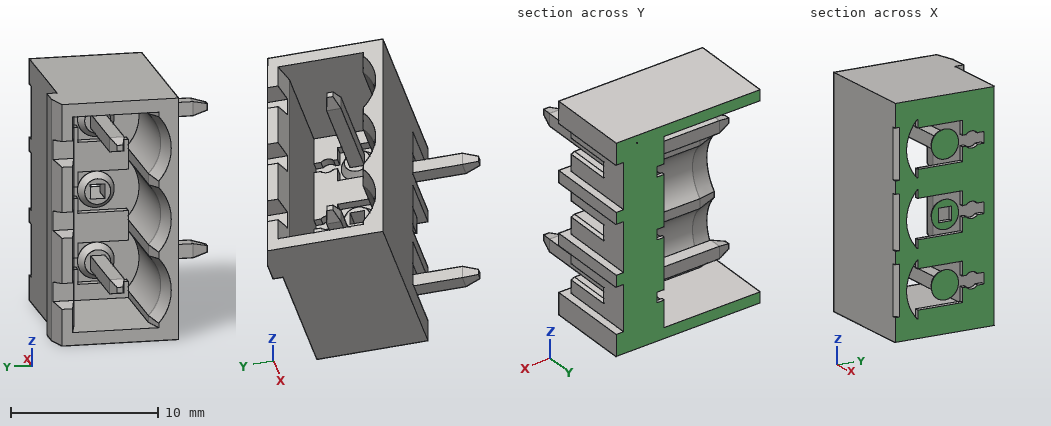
import cadquery as cq


LENGTH = 12.0
HEIGHT = 7.8
WIDTH = 17.0
LIP_TOP = 8.5
LIP_LENGTH = 3.0

PITCH = 5.0
POSITIONS = (-PITCH, 0.0, PITCH)
PIN_POSITIONS = (-PITCH, PITCH)

MOUTH_DEPTH = 1.5
MOUTH_FLARE = 0.4

CAVITY_WIDTH = 15.16
CAVITY_BOTTOM = 1.78
CAVITY_TOP = 6.95
CAVITY_DEPTH = 7.99
SCALLOP_RADIUS = 3.0

RECESS_DEPTH = 0.6
RECESS_WIDTH = 2.9
RECESS_TOP = 5.29
KEY_WIDTH = 0.8
KEY_BULGE_RADIUS = 0.6
KEY_BULGE_Y = 6.02
RECESS_FLOOR = CAVITY_DEPTH + RECESS_DEPTH

COLLAR_BASE_RADIUS = 1.28
COLLAR_TOP_RADIUS = 0.9
COLLAR_HEIGHT = RECESS_DEPTH

NOTCH_DEPTH = 1.25
NOTCH_FLOOR_WIDTH = 1.36
NOTCH_MOUTH_WIDTH = 1.82

BACK_WALL_X = 11.39
END_RIB_WIDTH = 1.78
RIB_WIDTH = 0.99
WINDOW_START = 7.99
WINDOW_DEPTH = 0.61

PIN_SIZE = 1.0
PIN_Y = 3.91
TAIL_X = 10.1
PIN_FRONT_X = 0.75
TAIL_END_Y = -4.1
CONTACT_TIP_SIZE = 0.4
CONTACT_TIP_LENGTH = 1.0
TAIL_TIP_SIZE = 0.46
TAIL_TIP_LENGTH = 1.05

SLOT_FLARE_LENGTH = 0.27
SLOT_FLARE = 0.14


def box(x_range, y_range, z_range):
    """Axis-aligned block given by its limits along each axis."""
    size = [high - low for low, high in (x_range, y_range, z_range)]
    corner = (x_range[0], y_range[0], z_range[0])
    return cq.Workplane("XY").box(*size, centered=False).translate(corner)


def centred(middle, width):
    """Limits of a span of the given width about its middle."""
    return (middle - width / 2, middle + width / 2)


def prism_along_z(points, z_range):
    """XY outline extruded between two Z levels."""
    low, high = z_range
    return cq.Workplane("XY").workplane(offset=low).polyline(points).close().extrude(high - low)


def cone_along_x(x_start, length, start_radius, end_radius, z):
    """Truncated cone about the pin axis of one position, growing toward +X."""
    return cq.Workplane(cq.Solid.makeCone(
        start_radius, end_radius, length, pnt=cq.Vector(x_start, PIN_Y, z), dir=cq.Vector(1, 0, 0)))


def cylinder_along_x(x_start, length, radius, y, z):
    """Cylinder growing toward +X from a centre at (y, z)."""
    return (cq.Workplane("YZ").workplane(offset=x_start).center(y, z)
            .circle(radius).extrude(length))


def housing_block():
    outline = [
        (0, 0),
        (LENGTH, 0),
        (LENGTH, HEIGHT),
        (LIP_LENGTH, HEIGHT),
        (LIP_LENGTH, LIP_TOP),
        (MOUTH_DEPTH, LIP_TOP),
        (0, LIP_TOP - MOUTH_FLARE),
    ]
    return prism_along_z(outline, centred(0, WIDTH))


def cavity():
    """Main opening with its flared mouth and one scalloped bulge below each position."""
    outline = [
        (0, CAVITY_BOTTOM - MOUTH_FLARE),
        (MOUTH_DEPTH, CAVITY_BOTTOM),
        (CAVITY_DEPTH, CAVITY_BOTTOM),
        (CAVITY_DEPTH, CAVITY_TOP),
        (MOUTH_DEPTH, CAVITY_TOP),
        (0, CAVITY_TOP + MOUTH_FLARE),
    ]
    space = prism_along_z(outline, centred(0, CAVITY_WIDTH))
    for z in POSITIONS:
        flare = cone_along_x(0, MOUTH_DEPTH, SCALLOP_RADIUS + MOUTH_FLARE, SCALLOP_RADIUS, z)
        bore = cylinder_along_x(MOUTH_DEPTH, RECESS_FLOOR - MOUTH_DEPTH, SCALLOP_RADIUS, PIN_Y, z)
        lower_half = box((0, RECESS_FLOOR), (0, CAVITY_BOTTOM), centred(z, PITCH))
        space = space.union(flare.union(bore).intersect(lower_half))
    return space


def floor_recess(z):
    """Recess around one pin, with a bulged key slot up to the top wall."""
    depth_range = (CAVITY_DEPTH, RECESS_FLOOR)
    pocket = box(depth_range, (CAVITY_BOTTOM, RECESS_TOP), centred(z, RECESS_WIDTH))
    key = box(depth_range, (RECESS_TOP, CAVITY_TOP), centred(z, KEY_WIDTH))
    bulge = cylinder_along_x(CAVITY_DEPTH, RECESS_DEPTH, KEY_BULGE_RADIUS, KEY_BULGE_Y, z)
    return pocket.union(key).union(bulge)


def symmetric_slot(half_outline, z, y_range):
    """Slot through a Y range; half_outline lists (x, half width) from its front to its back."""
    upper = [(x, z + half) for x, half in half_outline]
    lower = [(x, z - half) for x, half in reversed(half_outline)]
    low, high = y_range
    return (cq.Workplane("XZ").workplane(offset=-low).polyline(upper + lower).close()
            .extrude(low - high))


def coding_notch(z):
    half_outline = [(0, NOTCH_MOUTH_WIDTH / 2), (NOTCH_DEPTH, NOTCH_FLOOR_WIDTH / 2)]
    return symmetric_slot(half_outline, z, (PIN_Y, LIP_TOP))


def pin_slot(z):
    """Slot for pressing in a pin from the back, and the square hole in line with it."""
    half = PIN_SIZE / 2
    half_outline = [
        (TAIL_X - half, half),
        (BACK_WALL_X - SLOT_FLARE_LENGTH, half),
        (BACK_WALL_X, half + SLOT_FLARE),
    ]
    slot = symmetric_slot(half_outline, z, (0, PIN_Y + half))
    hole = box((CAVITY_DEPTH, TAIL_X), centred(PIN_Y, PIN_SIZE), centred(z, PIN_SIZE))
    return slot.union(hole)


def rear_windows():
    """Gaps between the ribs: through the rear edge, and ramped into the Y = 0 face."""
    outline = [
        (WINDOW_START, 0),
        (WINDOW_START + WINDOW_DEPTH, WINDOW_DEPTH),
        (BACK_WALL_X, WINDOW_DEPTH),
        (BACK_WALL_X, HEIGHT),
        (LENGTH, HEIGHT),
        (LENGTH, 0),
    ]
    windows = prism_along_z(outline, centred(0, WIDTH - 2 * END_RIB_WIDTH))
    for z in (-PITCH / 2, PITCH / 2):
        rib = box((WINDOW_START, LENGTH), (0, HEIGHT), centred(z, RIB_WIDTH))
        windows = windows.cut(rib)
    return windows


def pin_tip(plane, length, end_size):
    """Pyramid-shaped pin end growing from a plane at the pin shoulder."""
    return (cq.Workplane(plane).rect(PIN_SIZE, PIN_SIZE).workplane(offset=length)
            .rect(end_size, end_size).loft())


def pin(z):
    """Bent square pin: contact along X, tail along -Y."""
    half = PIN_SIZE / 2
    contact_shoulder = PIN_FRONT_X + CONTACT_TIP_LENGTH
    tail_shoulder = TAIL_END_Y + TAIL_TIP_LENGTH
    contact = box((contact_shoulder, TAIL_X + half), centred(PIN_Y, PIN_SIZE), centred(z, PIN_SIZE))
    tail = box(centred(TAIL_X, PIN_SIZE), (tail_shoulder, PIN_Y), centred(z, PIN_SIZE))
    contact_plane = cq.Plane((contact_shoulder, PIN_Y, z), xDir=(0, 0, 1), normal=(-1, 0, 0))
    tail_plane = cq.Plane((TAIL_X, tail_shoulder, z), xDir=(1, 0, 0), normal=(0, -1, 0))
    contact_tip = pin_tip(contact_plane, CONTACT_TIP_LENGTH, CONTACT_TIP_SIZE)
    tail_tip = pin_tip(tail_plane, TAIL_TIP_LENGTH, TAIL_TIP_SIZE)
    return contact.union(tail).union(contact_tip).union(tail_tip)


result = housing_block().cut(cavity()).cut(rear_windows())

for z in POSITIONS:
    collar = cone_along_x(
        RECESS_FLOOR - COLLAR_HEIGHT, COLLAR_HEIGHT, COLLAR_TOP_RADIUS, COLLAR_BASE_RADIUS, z)
    result = result.cut(floor_recess(z)).union(collar)
    result = result.cut(coding_notch(z)).cut(pin_slot(z))

for z in PIN_POSITIONS:
    result = result.union(pin(z))